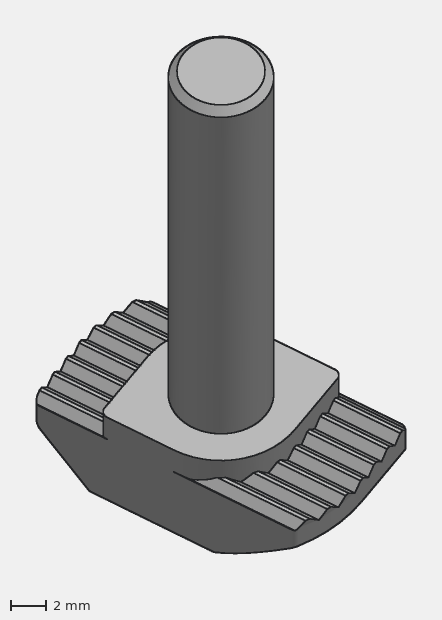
import cadquery as cq
import math

head_length = 19.0
width = 10.0
foot_length = 11.4
shoulder_height = 3.83
corner_radius = 0.5

crest_height = 5.8
tooth_depth = 0.55
tooth_pitch = 1.4
crest_width = 0.25
grooves_per_side = 4

collar_top = 7.3
stud_diameter = 6.0
stud_chamfer = 0.5
total_height = 35.8

half_width = width / 2
half_head = head_length / 2
half_foot = foot_length / 2
position_tolerance = 0.005


def quarter_turn_prism(half_length, height):
    """Prism with two opposite square corners and two corners swept by rotation about Z."""
    arc_end_x = math.sqrt(half_length**2 - half_width**2)
    mid_angle = math.atan2(half_width, arc_end_x) / 2
    mid_x = half_length * math.cos(mid_angle)
    mid_y = half_length * math.sin(mid_angle)
    prism = (
        cq.Workplane("XY")
        .moveTo(-half_length, 0)
        .lineTo(-half_length, -half_width)
        .lineTo(arc_end_x, -half_width)
        .threePointArc((mid_x, -mid_y), (half_length, 0))
        .lineTo(half_length, half_width)
        .lineTo(-arc_end_x, half_width)
        .threePointArc((-mid_x, mid_y), (-half_length, 0))
        .close()
        .extrude(height)
    )

    def is_sharp_corner(edge):
        center = edge.Center()
        on_long_side = abs(abs(center.y) - half_width) < position_tolerance
        return on_long_side and abs(center.x) > position_tolerance

    return prism.edges("|Z").filter(is_sharp_corner).fillet(corner_radius)


def tapered_body():
    """Flat flanks on the square corners, conical flanks on the swept corners."""
    half_profile = [
        (0, 0),
        (half_foot, 0),
        (half_head, shoulder_height),
        (half_head, crest_height),
        (0, crest_height),
    ]
    cone = cq.Workplane("XZ").polyline(half_profile).close().revolve(360, (0, 0), (0, 1))
    plus_wedge = cq.Workplane("XZ").polyline(half_profile).close().extrude(-half_width)
    minus_wedge = plus_wedge.rotate((0, 0, 0), (0, 0, 1), 180)
    return cone.union(plus_wedge).union(minus_wedge)


def serration_cutter():
    """V grooves along X, leaving narrow flat crests with one crest centred."""
    half_groove = (tooth_pitch - crest_width) / 2
    cutter = cq.Workplane("YZ")
    for index in range(-grooves_per_side, grooves_per_side):
        valley_y = (index + 0.5) * tooth_pitch
        cutter = (
            cutter.moveTo(valley_y - half_groove, crest_height)
            .lineTo(valley_y, crest_height - tooth_depth)
            .lineTo(valley_y + half_groove, crest_height)
            .close()
        )
    return cutter.extrude(half_head, both=True)


head = quarter_turn_prism(half_head, crest_height).intersect(tapered_body())
head = head.cut(serration_cutter())

valley_height = crest_height - tooth_depth
collar = quarter_turn_prism(half_width, collar_top - valley_height).translate((0, 0, valley_height))

stud = (
    cq.Workplane("XY")
    .workplane(offset=valley_height)
    .circle(stud_diameter / 2)
    .extrude(total_height - valley_height)
    .faces(">Z")
    .chamfer(stud_chamfer)
)

result = head.union(collar).union(stud)